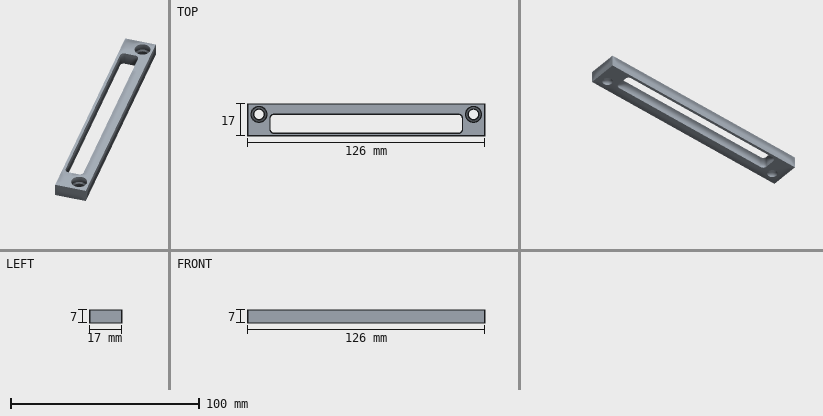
import cadquery as cq

length = 126.0
width = 17.0
height = 7.0

window_length = 102.0
window_width = 10.0
front_wall = 1.5
window_corner_radius = 2.0

hole_spacing = 113.9
hole_to_back_edge = 5.5
hole_diameter = 5.5
counterbore_diameter = 8.5
counterbore_depth = 3.5

window_y = -width / 2 + front_wall + window_width / 2
hole_y = width / 2 - hole_to_back_edge

bar = cq.Workplane("XY").box(length, width, height, centered=(True, True, False))

window = (
    cq.Workplane("XY")
    .center(0, window_y)
    .rect(window_length, window_width)
    .extrude(height)
    .edges("|Z")
    .fillet(window_corner_radius)
)

result = (
    bar.cut(window)
    .faces(">Z")
    .workplane(origin=(0, 0, height))
    .pushPoints([(-hole_spacing / 2, hole_y), (hole_spacing / 2, hole_y)])
    .cboreHole(hole_diameter, counterbore_diameter, counterbore_depth)
)